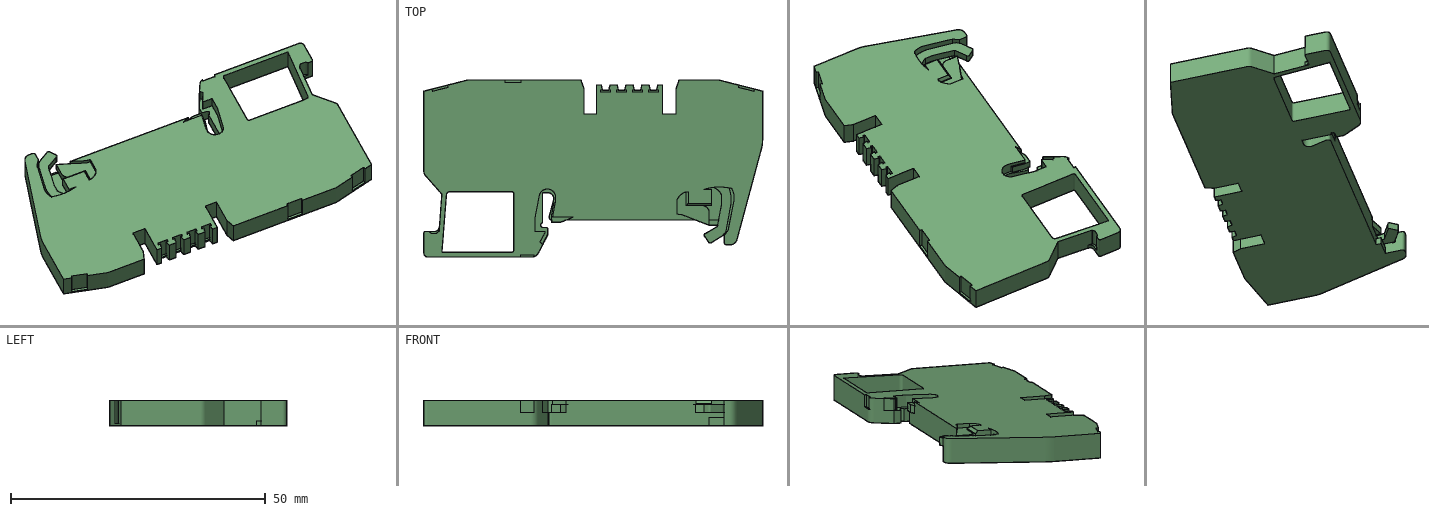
import cadquery as cq
import math

LENGTH = 66.6
WIDTH = 34.8
THICKNESS = 5.0
STEP_Z = 2.6
SHELF_Z = 4.2
RECESS_Z = 0.4
WEB_Z = 0.9
TAB_Z = 1.6

SHOULDER_RUN = 8.65
SHOULDER_Y = 32.65
NOTCH_FLOOR_Y = 28.2
NOTCH_TAPER_Y = 33.1
LEFT_NOTCH = (31.5, 33.9)
RIGHT_NOTCH = (46.95, 49.55)
NOTCH_TAPER = 0.6
COMB_TOP_Y = 33.8

COMB_GAPS = 4
COMB_PITCH = 3.1
COMB_CENTER_X = (LEFT_NOTCH[1] + RIGHT_NOTCH[0]) / 2
GAP_TOP_WIDTH = 1.65
GAP_FLOOR_WIDTH = 1.2
GAP_DEPTH = 1.0
GAP_POCKET_WIDTH = 2.0
GAP_POCKET_DEPTH = 0.4

BASE_Y = 7.25
LEDGE_Y = 5.05
LEDGE_WALL_X = 3.0
WEB_RADIUS = 0.85
LEG_X = 59.0
CATCH_X = 56.1
CATCH_Y = 6.25
SLOT_MOUTH_X = 24.65
TIP_X = 24.4
TIP_Y = 5.85
FOOT_END_X = 22.1
SIDE_BEND_Y = 16.4
RIGHT_BEND_Y = 22.2
LEG_END_X = 61.3
LEG_END_Y = 2.4

ROUNDED_CORNERS = [
    (0, 0, 0.8),
    (0, LEDGE_Y, 0.3),
    (0, SIDE_BEND_Y, 1.25),
    (FOOT_END_X, 0, 1.6),
    (TIP_X, TIP_Y, 0.3),
    (SLOT_MOUTH_X, BASE_Y, 0.5),
    (LEG_X, LEG_END_Y, 0.5),
    (LEG_END_X, LEG_END_Y, 1.45),
    (LENGTH, RIGHT_BEND_Y, 6.65),
]

MARKER_LENGTH = 3.1
MARKER_DEPTH = 0.45
MARKER_CENTER_X = 17.5
SHOULDER_MARKER_X = 3.1
SHOULDER_ANGLE = math.degrees(math.atan2(WIDTH - SHOULDER_Y, SHOULDER_RUN))

CORNER_X = (51.55, 56.55)
CORNER_Y = 10.1
CORNER_TOP_Y = 12.85
CORNER_BEVEL = 0.45
CORNER_BEVEL_DROP = 0.6


def prism(outline, bottom, top):
    """Extrude a closed outline from one height to another."""
    return outline.close().extrude(top - bottom).translate((0, 0, bottom))


def polygon(points, bottom, top):
    """Extrude a straight-sided outline from one height to another."""
    return prism(cq.Workplane("XY").polyline(points), bottom, top)


def round_corner(solid, x, y, radius):
    """Round the upright edge nearest to a point in plan."""
    place = cq.selectors.NearestToPointSelector((x, y, THICKNESS / 2))
    return solid.edges("|Z").edges(place).fillet(radius)


def body():
    """Full-thickness plate with the foot, the rail slot and the right leg."""
    outline = (
        cq.Workplane("XY")
        .moveTo(0, SHOULDER_Y)
        .lineTo(SHOULDER_RUN, WIDTH)
        .lineTo(LEFT_NOTCH[0] - NOTCH_TAPER, WIDTH)
        .lineTo(LEFT_NOTCH[0], NOTCH_TAPER_Y)
        .lineTo(LEFT_NOTCH[0], NOTCH_FLOOR_Y)
        .lineTo(LEFT_NOTCH[1], NOTCH_FLOOR_Y)
        .lineTo(LEFT_NOTCH[1], COMB_TOP_Y)
        .lineTo(RIGHT_NOTCH[0], COMB_TOP_Y)
        .lineTo(RIGHT_NOTCH[0], NOTCH_FLOOR_Y)
        .lineTo(RIGHT_NOTCH[1], NOTCH_FLOOR_Y)
        .lineTo(RIGHT_NOTCH[1], NOTCH_TAPER_Y)
        .lineTo(RIGHT_NOTCH[1] + NOTCH_TAPER, WIDTH)
        .lineTo(LENGTH - SHOULDER_RUN, WIDTH)
        .lineTo(LENGTH, SHOULDER_Y)
        .lineTo(LENGTH, RIGHT_BEND_Y)
        .lineTo(LEG_END_X, LEG_END_Y)
        .lineTo(LEG_X, LEG_END_Y)
        .lineTo(LEG_X, BASE_Y)
        .lineTo(SLOT_MOUTH_X, BASE_Y)
        .lineTo(SLOT_MOUTH_X, 8.05)
        .lineTo(25.5, 11.3)
        .threePointArc((25.25, 12.25), (24.45, 12.65))
        .lineTo(23.4, 12.65)
        .lineTo(23.4, 6.7)
        .threePointArc((23.0, 6.25), (23.4, TIP_Y))
        .lineTo(TIP_X, TIP_Y)
        .lineTo(TIP_X, 4.3)
        .lineTo(FOOT_END_X, 0)
        .lineTo(0, 0)
        .lineTo(0, LEDGE_Y)
        .lineTo(LEDGE_WALL_X, LEDGE_Y)
        .lineTo(3.5, 12.4)
        .lineTo(0, SIDE_BEND_Y)
    )
    plate = prism(outline, 0, THICKNESS)
    for x, y, radius in ROUNDED_CORNERS:
        plate = round_corner(plate, x, y, radius)
    return plate


def foot_window():
    """Through window in the foot, with a slanting left side."""
    window = polygon([(3.6, 1.0), (17.65, 1.0), (17.65, 12.85), (4.5, 12.85)], 0, THICKNESS)
    window = round_corner(window, 4.5, 12.85, 0.65)
    return window.edges("|Z and >X").fillet(0.3)


def ledge_groove():
    """Groove along the ledge corner, open above the web."""
    outline = (
        cq.Workplane("XY")
        .moveTo(1.1, LEDGE_Y)
        .threePointArc((1.3, 4.8), (1.65, 4.65))
        .lineTo(2.3, 4.65)
        .threePointArc((2.65, 4.8), (2.85, LEDGE_Y))
    )
    return prism(outline, WEB_Z, THICKNESS)


def ledge_web():
    """Small concave web in the corner between the ledge and the wall."""
    outline = (
        cq.Workplane("XY")
        .moveTo(LEDGE_WALL_X, LEDGE_Y)
        .lineTo(LEDGE_WALL_X, LEDGE_Y + WEB_RADIUS)
        .radiusArc((LEDGE_WALL_X - WEB_RADIUS, LEDGE_Y), WEB_RADIUS)
    )
    return prism(outline, 0, WEB_Z)


def comb_gap(center_x):
    """Tapering gap through the comb, with a wider shallow pocket behind it."""
    floor_y = COMB_TOP_Y - GAP_DEPTH
    gap = polygon(
        [
            (center_x - GAP_TOP_WIDTH / 2, COMB_TOP_Y),
            (center_x - GAP_FLOOR_WIDTH / 2, floor_y),
            (center_x + GAP_FLOOR_WIDTH / 2, floor_y),
            (center_x + GAP_TOP_WIDTH / 2, COMB_TOP_Y),
        ],
        0,
        THICKNESS,
    )
    pocket = (
        cq.Workplane("XY", origin=(center_x, floor_y - GAP_POCKET_DEPTH / 2, RECESS_Z))
        .rect(GAP_POCKET_WIDTH, GAP_POCKET_DEPTH)
        .extrude(THICKNESS - RECESS_Z)
    )
    return gap.union(pocket)


def marker_recess():
    """Shallow recess centred on the X axis, to be placed on an upper edge."""
    return (
        cq.Workplane("XY", origin=(0, 0, RECESS_Z))
        .rect(MARKER_LENGTH, 2 * MARKER_DEPTH)
        .extrude(THICKNESS - RECESS_Z)
    )


def slot_pocket():
    """Wide pocket around the upper half of the rail slot."""
    outline = (
        cq.Workplane("XY")
        .moveTo(21.85, LEDGE_Y)
        .lineTo(21.85, 7.65)
        .lineTo(22.7, 12.2)
        .threePointArc((24.3, 13.4), (25.9, 11.85))
        .lineTo(25.9, 11.2)
        .lineTo(25.3, 7.85)
        .lineTo(29.3, 7.85)
        .lineTo(28.0, BASE_Y)
        .lineTo(SLOT_MOUTH_X, BASE_Y)
        .lineTo(SLOT_MOUTH_X, LEDGE_Y)
    )
    return prism(outline, STEP_Z, THICKNESS)


def rail_lip():
    """Lip at the mouth of the slot, with an arm running up the slot wall."""
    points = [
        (25.1, 6.85),
        (26.9, 6.85),
        (28.0, BASE_Y),
        (29.3, 7.85),
        (29.3, 8.3),
        (25.85, 10.8),
        (25.5, 10.6),
        (25.1, 8.1),
    ]
    return polygon(points, STEP_Z, SHELF_Z)


def foot_recesses():
    """Shallow recesses in the bottom and in the sloping end of the foot."""
    bottom = polygon([(19.05, 0), (21.65, 0), (21.65, 0.4), (19.05, 0.4)], STEP_Z, THICKNESS)
    end = polygon([(22.85, 3.0), (23.85, 4.85), (23.85, LEDGE_Y), (24.65, LEDGE_Y), (23.3, 2.5)],
                  STEP_Z, THICKNESS)
    return bottom.union(end)


def latch_pocket():
    """Deep pocket in which the latch arm stands."""
    outline = (
        cq.Workplane("XY")
        .moveTo(CORNER_X[1], 13.3)
        .lineTo(55.1, 13.3)
        .threePointArc((57.8, 13.8), (60.5, 13.5))
        .threePointArc((60.95, 12.2), (60.9, 10.8))
        .lineTo(59.8, 5.3)
        .lineTo(LEG_X, 4.2)
        .lineTo(CATCH_X, 4.2)
        .lineTo(CATCH_X, 8.9)
        .threePointArc((55.7, 9.7), (54.9, CORNER_Y))
        .lineTo(CORNER_X[1], CORNER_Y)
    )
    return prism(outline, STEP_Z, THICKNESS)


def latch_shelf():
    """Shallow pocket over the catch, left of and below the raised corner."""
    outline = (
        cq.Workplane("XY")
        .moveTo(CORNER_X[0], CORNER_TOP_Y)
        .threePointArc((50.5, 12.25), (49.75, 11.25))
        .lineTo(49.75, 8.45)
        .lineTo(50.6, 8.4)
        .lineTo(CATCH_X, CATCH_Y)
        .lineTo(CORNER_X[1], CATCH_Y)
        .lineTo(CORNER_X[1], CORNER_Y)
        .lineTo(CORNER_X[0], CORNER_Y)
    )
    return prism(outline, SHELF_Z, THICKNESS)


def corner_bevels():
    """Bevels along the two exposed top edges of the raised corner."""
    low = THICKNESS - CORNER_BEVEL_DROP
    left = (
        cq.Workplane("XZ", origin=(0, CORNER_TOP_Y, 0))
        .polyline([(CORNER_X[0], low), (CORNER_X[0], THICKNESS), (CORNER_X[0] + CORNER_BEVEL, THICKNESS)])
        .close()
        .extrude(CORNER_TOP_Y - CORNER_Y)
    )
    front = (
        cq.Workplane("YZ", origin=(CORNER_X[0], 0, 0))
        .polyline([(CORNER_Y, low), (CORNER_Y, THICKNESS), (CORNER_Y + CORNER_BEVEL, THICKNESS)])
        .close()
        .extrude(CORNER_X[1] - CORNER_X[0])
    )
    return left.union(front)


def latch_arm():
    """Springy arm that curves down the pocket and ends in a bent foot."""
    outline = (
        cq.Workplane("XY")
        .moveTo(CORNER_X[1], 13.8)
        .threePointArc((57.95, 13.05), (58.55, 12.05))
        .lineTo(58.55, 10.6)
        .lineTo(57.7, 6.05)
        .lineTo(55.35, 4.65)
        .threePointArc((55.1, 4.45), (55.15, 4.1))
        .lineTo(55.9, 3.05)
        .threePointArc((56.15, 2.8), (56.55, 2.85))
        .lineTo(58.6, 4.1)
        .threePointArc((59.15, 4.65), (59.4, 5.25))
        .lineTo(60.4, 10.8)
        .threePointArc((60.35, 12.2), (60.0, 13.6))
        .threePointArc((58.3, 13.85), (CORNER_X[1], 13.8))
    )
    return prism(outline, STEP_Z, SHELF_Z)


def catch():
    """Wedge of the catch that projects below the lower edge of the body."""
    return polygon([(53.4, BASE_Y), (CATCH_X, CATCH_Y), (CATCH_X, BASE_Y)], STEP_Z, SHELF_Z)


def latch_tab():
    """Low tab that joins the lower edge of the body to the right leg."""
    points = [(CATCH_X, CATCH_Y), (LEG_X, CATCH_Y), (LEG_X, BASE_Y), (CATCH_X, BASE_Y)]
    return polygon(points, 0, TAB_Z)


result = body().cut(foot_window()).cut(ledge_groove()).union(ledge_web())
first_gap_x = COMB_CENTER_X - COMB_PITCH * (COMB_GAPS - 1) / 2
for index in range(COMB_GAPS):
    result = result.cut(comb_gap(first_gap_x + index * COMB_PITCH))

shoulder_marker_y = SHOULDER_Y + SHOULDER_MARKER_X * (WIDTH - SHOULDER_Y) / SHOULDER_RUN
marker_places = [
    (SHOULDER_MARKER_X, shoulder_marker_y, SHOULDER_ANGLE),
    (MARKER_CENTER_X, WIDTH, 0),
    (LENGTH - SHOULDER_MARKER_X, shoulder_marker_y, -SHOULDER_ANGLE),
]
for center_x, center_y, angle in marker_places:
    recess = marker_recess().rotate((0, 0, 0), (0, 0, 1), angle)
    result = result.cut(recess.translate((center_x, center_y, 0)))

result = result.cut(slot_pocket()).cut(foot_recesses()).union(rail_lip())
result = result.cut(latch_pocket()).cut(latch_shelf()).cut(corner_bevels())
result = result.union(latch_arm()).union(catch()).union(latch_tab())